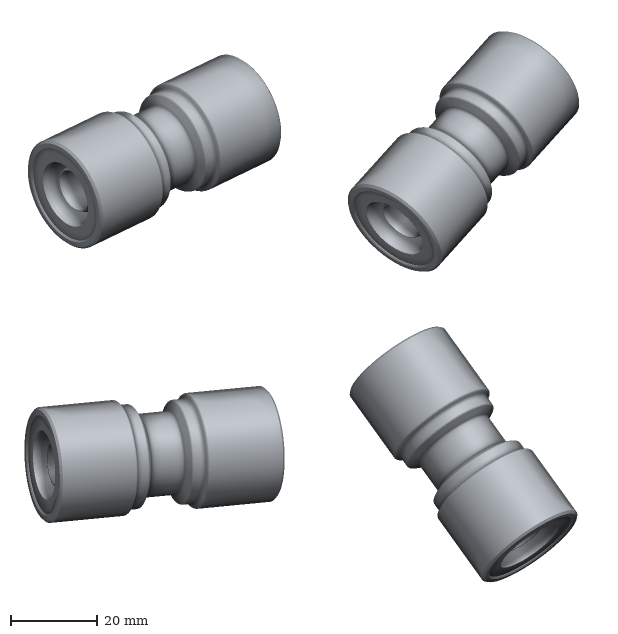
import cadquery as cq
import math


length = 55.0
half_length = length / 2

body_radius = 27.0 / 2
collar_radius = 24.5 / 2
neck_radius = 19.5 / 2
neck_half_length = 3.9
collar_end = 8.05
shoulder_angle = 60.0
shoulder_round = 0.6
neck_round = 0.4
end_chamfer = 0.55

ring_radius = 23.0 / 2
ring_recess = 0.5
recess_chamfer = 0.3

mouth_radius = 16.15 / 2
socket_radius = 16.05 / 2
mouth_length = 1.05
lead_in_length = 0.6
socket_floor = 7.7

support_radius = 12.5 / 2
support_cone_radius = 11.8 / 2
support_tip_radius = 5.3
bore_radius = 10.0 / 2
support_setback = 2.95
support_cone_length = 1.4
support_shoulder_length = 0.8


def shoulder_length(inner_radius, outer_radius):
    """Axial length of a shoulder cone between two radii."""
    return (outer_radius - inner_radius) / math.tan(math.radians(shoulder_angle))


def mirrored(points):
    """Extend a half profile, listed from the middle outwards, across the middle plane."""
    return [(radius, -y) for radius, y in reversed(points)] + points


def revolve_about_y(points):
    """Solid of revolution about Y from (radius, y) points."""
    return cq.Workplane("XY").polyline(points).close().revolve(360, (0, 0, 0), (0, 1, 0))


def round_rings(body, y, radius):
    """Round the circular edges at distance y on both sides of the middle plane."""
    tolerance = 0.005
    for centre in (-y, y):
        slab = cq.selectors.BoxSelector(
            (-length, centre - tolerance, -length),
            (length, centre + tolerance, length),
            boundingbox=True,
        )
        body = body.edges(slab).fillet(radius)
    return body


def make_outside():
    """Solid body with its collars and neck, rounded along the shoulders."""
    neck_cone_end = neck_half_length + shoulder_length(neck_radius, collar_radius)
    body_start = collar_end + shoulder_length(collar_radius, body_radius)
    body = revolve_about_y(mirrored([
        (neck_radius, neck_half_length),
        (collar_radius, neck_cone_end),
        (collar_radius, collar_end),
        (body_radius, body_start),
        (body_radius, half_length - end_chamfer),
        (body_radius - end_chamfer, half_length),
        (0, half_length),
    ]))
    body = round_rings(body, neck_half_length, neck_round)
    for y in (neck_cone_end, collar_end, body_start):
        body = round_rings(body, y, shoulder_round)
    return body


def make_socket():
    """Cutter for the +Y end: ring recess and tube socket, leaving the tube support."""
    ring_face = half_length - ring_recess
    mouth_end = ring_face - mouth_length
    tip = half_length - support_setback
    cone_base = tip - support_cone_length
    support_base = cone_base - support_shoulder_length
    return revolve_about_y([
        (0, half_length),
        (ring_radius + recess_chamfer, half_length),
        (ring_radius, half_length - recess_chamfer),
        (ring_radius, ring_face),
        (mouth_radius, ring_face),
        (mouth_radius, mouth_end),
        (socket_radius, mouth_end - lead_in_length),
        (socket_radius, socket_floor),
        (support_radius, socket_floor),
        (support_radius, support_base),
        (support_cone_radius, cone_base),
        (support_tip_radius, tip),
        (0, tip),
    ])


def make_bore():
    """Through bore along the whole part."""
    return cq.Workplane("XZ").circle(bore_radius).extrude(half_length, both=True)


socket = make_socket()
result = make_outside().cut(socket).cut(socket.mirror("XZ")).cut(make_bore())